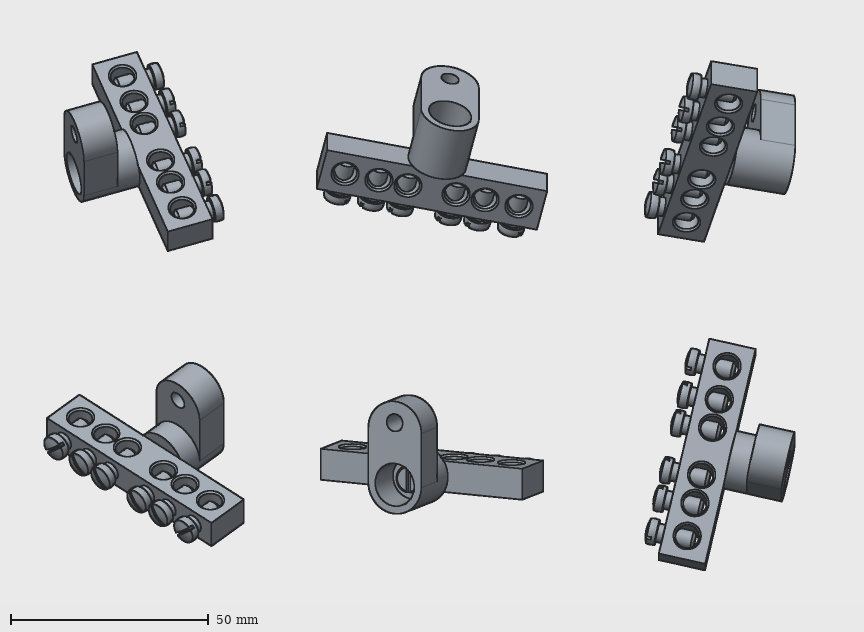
import cadquery as cq
import math

BAR_LENGTH = 57.0
BAR_DEPTH = 12.0
BAR_HEIGHT = 8.0
WIRE_HOLE_DIA = 6.0
WIRE_HOLE_CHAMFER = 0.5
WIRE_HOLE_Y = BAR_DEPTH / 2

BRACKET_RADIUS = 7.5
BRACKET_DEPTH = 15.0
LUG_DEPTH = 9.0
LUG_TOP_CENTRE_Z = 14.0
LUG_HOLE_DIA = 4.5
LUG_HOLE_Z = 16.0
SCREW_BORE_DIA = 11.0
BRACKET_FLOOR = 5.0

SHANK_DIA = 4.8
SHANK_LENGTH = 9.7
TIP_DIA = 3.24
TIP_CHAMFER = (SHANK_DIA - TIP_DIA) / 2

HEAD_BULGE = 0.15
HEAD_UNDERSIDE_CHAMFER = 0.15
HEAD_SIDE_HEIGHT = 2.3
HEAD_BULGE_HEIGHT = (HEAD_UNDERSIDE_CHAMFER + HEAD_SIDE_HEIGHT) / 2
CROWN_EDGE_HEIGHT = 2.4
SLOT_FLOOR_HEIGHT = 1.15

TERMINAL_HEAD_RADIUS = 3.4
TERMINAL_CROWN_RADIUS = 3.05
TERMINAL_HEAD_HEIGHT = 2.96
TERMINAL_SLOT_WIDTH = 0.8

MOUNTING_HEAD_RADIUS = 3.55
MOUNTING_CROWN_RADIUS = 3.1
MOUNTING_SLOT_WIDTH = 1.2

TERMINAL_HEAD_GAP = 1.7
TERMINALS = [(-22.5, -45), (-13.75, 45), (-6.25, 45), (6.25, 45), (13.75, 45), (22.5, -45)]


def cylinder_along_y(x, z, diameter, y_start, y_end):
    """Cylinder parallel to Y between two Y positions."""
    return cq.Workplane(
        cq.Solid.makeCylinder(
            diameter / 2, y_end - y_start, cq.Vector(x, y_start, z), cq.Vector(0, 1, 0)
        )
    )


def make_shank():
    """Chamfered shank on the Y axis, running from Y = 0 towards -Y."""
    shank = cylinder_along_y(0, 0, SHANK_DIA, -SHANK_LENGTH, 0)
    return shank.faces("<Y").chamfer(TIP_CHAMFER)


def cut_slot(screw, width):
    """Cut a driver slot along Z across a head that stands on the plane Y = 0."""
    slot_length = 3 * MOUNTING_HEAD_RADIUS
    slot = (
        cq.Workplane("XY")
        .box(width, TERMINAL_HEAD_HEIGHT, slot_length, centered=(True, False, True))
        .translate((0, SLOT_FLOOR_HEIGHT, 0))
    )
    return screw.cut(slot)


def head_outline(head_radius, crown_radius):
    """Half section of a head, from the axis on its underside round to the edge of its crown."""
    edge_radius = head_radius - HEAD_BULGE
    return (
        cq.Workplane("XY")
        .lineTo(edge_radius - HEAD_UNDERSIDE_CHAMFER, 0)
        .lineTo(edge_radius, HEAD_UNDERSIDE_CHAMFER)
        .threePointArc((head_radius, HEAD_BULGE_HEIGHT), (edge_radius, HEAD_SIDE_HEIGHT))
        .lineTo(crown_radius, CROWN_EDGE_HEIGHT)
    )


def make_domed_screw():
    """Terminal screw on the Y axis: underside of the head at Y = 0, crown towards +Y."""
    crown_sag = TERMINAL_HEAD_HEIGHT - CROWN_EDGE_HEIGHT
    dome_radius = (TERMINAL_CROWN_RADIUS**2 + crown_sag**2) / (2 * crown_sag)
    mid_radius = TERMINAL_CROWN_RADIUS / 2
    mid_height = TERMINAL_HEAD_HEIGHT - dome_radius + math.sqrt(dome_radius**2 - mid_radius**2)
    head = (
        head_outline(TERMINAL_HEAD_RADIUS, TERMINAL_CROWN_RADIUS)
        .threePointArc((mid_radius, mid_height), (0, TERMINAL_HEAD_HEIGHT))
        .close()
        .revolve(360, (0, 0), (0, 1))
    )
    return cut_slot(make_shank().union(head), TERMINAL_SLOT_WIDTH)


def make_flat_screw():
    """Mounting screw on the Y axis: underside of the head at Y = 0, flat top towards +Y."""
    head = (
        head_outline(MOUNTING_HEAD_RADIUS, MOUNTING_CROWN_RADIUS)
        .lineTo(0, CROWN_EDGE_HEIGHT)
        .close()
        .revolve(360, (0, 0), (0, 1))
    )
    return cut_slot(make_shank().union(head), MOUNTING_SLOT_WIDTH)


def make_terminal_bar():
    """Bar with chamfered wire holes through Z and a screw hole into each from the back."""
    bar = cq.Workplane("XY").box(BAR_LENGTH, BAR_DEPTH, BAR_HEIGHT, centered=(True, False, True))
    wire_points = [(x, WIRE_HOLE_Y) for x, _ in TERMINALS]
    wire_holes = (
        cq.Workplane("XY")
        .workplane(offset=-BAR_HEIGHT / 2)
        .pushPoints(wire_points)
        .circle(WIRE_HOLE_DIA / 2)
        .extrude(BAR_HEIGHT)
    )
    bar = bar.cut(wire_holes)
    bar = bar.faces("<Z or >Z").edges("%CIRCLE").chamfer(WIRE_HOLE_CHAMFER)
    for x, _ in TERMINALS:
        bar = bar.cut(cylinder_along_y(x, 0, SHANK_DIA, WIRE_HOLE_Y, BAR_DEPTH))
    mounting_hole_depth = SHANK_LENGTH - BRACKET_FLOOR
    return bar.cut(cylinder_along_y(0, 0, SHANK_DIA, 0, mounting_hole_depth))


def make_bracket():
    """Round base and lug, with a deep bore for the mounting screw and a hole near the top."""
    front_y = -BRACKET_DEPTH
    lug_back_y = front_y + LUG_DEPTH
    base = cylinder_along_y(0, 0, 2 * BRACKET_RADIUS, front_y, 0)
    lug_top = cylinder_along_y(0, LUG_TOP_CENTRE_Z, 2 * BRACKET_RADIUS, front_y, lug_back_y)
    lug_web = (
        cq.Workplane("XY")
        .box(2 * BRACKET_RADIUS, LUG_DEPTH, LUG_TOP_CENTRE_Z, centered=(True, False, False))
        .translate((0, front_y, 0))
    )
    bracket = base.union(lug_web).union(lug_top)
    bracket = bracket.cut(cylinder_along_y(0, LUG_HOLE_Z, LUG_HOLE_DIA, front_y, lug_back_y))
    bracket = bracket.cut(cylinder_along_y(0, 0, SCREW_BORE_DIA, front_y, -BRACKET_FLOOR))
    return bracket.cut(cylinder_along_y(0, 0, SHANK_DIA, -BRACKET_FLOOR, 0))


def make_terminal_screw(x, slot_angle):
    """Terminal screw with its head behind the bar and its tip inside a wire hole."""
    screw = make_domed_screw().rotate((0, 0, 0), (0, 1, 0), slot_angle)
    return screw.translate((x, BAR_DEPTH + TERMINAL_HEAD_GAP, 0))


def make_mounting_screw():
    """Screw seated on the floor of the bracket bore, holding the bracket to the bar."""
    screw = make_flat_screw().rotate((0, 0, 0), (0, 0, 1), 180)
    return screw.translate((0, -BRACKET_FLOOR, 0))


terminal_bar = make_terminal_bar()
bracket = make_bracket()
mounting_screw = make_mounting_screw()
terminal_screws = [make_terminal_screw(x, slot_angle) for x, slot_angle in TERMINALS]

result = cq.Compound.makeCompound(
    [
        terminal_bar.val(),
        bracket.val(),
        mounting_screw.val(),
        *[screw.val() for screw in terminal_screws],
    ]
)